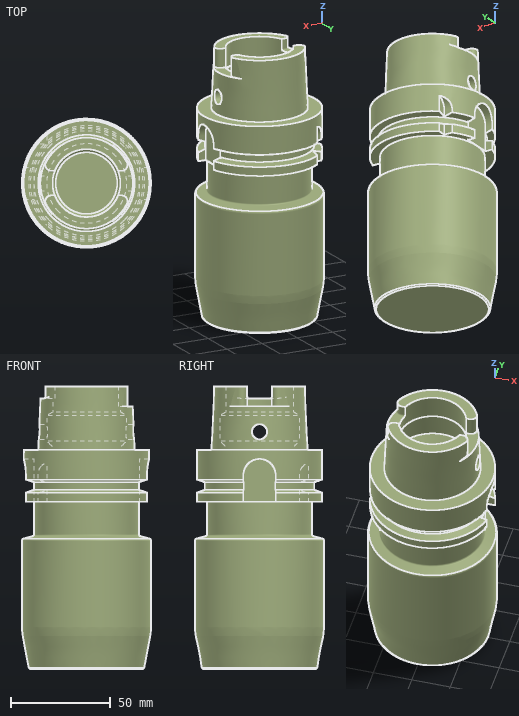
import cadquery as cq
import math

body_radius = 32.5
nose_radius = 29.0
nose_chamfer = 0.7
nose_taper_top = 16.6
nose_blend_top = 21.0
nose_taper_radius = 32.0
shoulder_start = 64.1
shoulder_cone_start = (31.9, 65.4)
shoulder_cone_end = (27.1, 66.7)
neck_radius = 26.4
neck_start = 67.7

flange_radius = 31.5
flange_bottom = 83.9
flange_top = 110.0
groove_radius = 27.5
groove_chamfer_height = 1.4
groove_bottom = 88.5
groove_top = 95.1

shank_base_radius = 24.3
shank_tip_radius = 22.8
shank_top = 141.9
bore_radius = 17.0
undercut_radius = 20.0
undercut_chamfer_top = 129.1
undercut_chamfer_height = 1.7
bore_floor = 110.0
bore_floor_radius = 15.5
cross_hole_diameter = 7.5
cross_hole_height = 119.0

notch_width = 12.3
notch_half_width = notch_width / 2
notch_corner_radius = 3.0
notch_foot_radius = 1.0
shallow_notch_floor = 135.8
deep_notch_floor = 131.8

keyway_radius = 8.1
keyway_center_height = 97.3
keyway_floor = 26.4
corner_notch_offset = 19.9
corner_notch_radius = 6.7
corner_notch_center_height = 97.3

clearance = 14.2


def make_body():
    """Solid of revolution: nose, body, neck, grooved flange and shank."""
    nose_slope = (nose_taper_radius - nose_radius) / nose_taper_top
    return (
        cq.Workplane("XZ")
        .moveTo(0, 0)
        .lineTo(nose_radius - nose_chamfer, 0)
        .lineTo(nose_radius + nose_slope * nose_chamfer, nose_chamfer)
        .lineTo(nose_taper_radius, nose_taper_top)
        .tangentArcPoint((body_radius, nose_blend_top), relative=False)
        .lineTo(body_radius, shoulder_start)
        .tangentArcPoint(shoulder_cone_start, relative=False)
        .lineTo(*shoulder_cone_end)
        .tangentArcPoint((neck_radius, neck_start), relative=False)
        .lineTo(neck_radius, flange_bottom)
        .lineTo(flange_radius, flange_bottom)
        .lineTo(flange_radius, groove_bottom)
        .lineTo(groove_radius, groove_bottom + groove_chamfer_height)
        .lineTo(groove_radius, groove_top - groove_chamfer_height)
        .lineTo(flange_radius, groove_top)
        .lineTo(flange_radius, flange_top)
        .lineTo(shank_base_radius, flange_top)
        .lineTo(shank_tip_radius, shank_top)
        .lineTo(0, shank_top)
        .close()
        .revolve(360, (0, 0, 0), (0, 1, 0))
    )


def make_bore():
    """Blind bore with a wider undercut and a conical edge round its floor."""
    floor_cone_top = bore_floor + undercut_radius - bore_floor_radius
    return (
        cq.Workplane("XZ")
        .moveTo(0, bore_floor)
        .lineTo(bore_floor_radius, bore_floor)
        .lineTo(undercut_radius, floor_cone_top)
        .lineTo(undercut_radius, undercut_chamfer_top - undercut_chamfer_height)
        .lineTo(bore_radius, undercut_chamfer_top)
        .lineTo(bore_radius, shank_top)
        .lineTo(0, shank_top)
        .close()
        .revolve(360, (0, 0, 0), (0, 1, 0))
    )


def make_cross_hole():
    """Radial hole through both walls of the shank, along X."""
    return (
        cq.Workplane("YZ")
        .center(0, cross_hole_height)
        .circle(cross_hole_diameter / 2)
        .extrude(2 * shank_base_radius, both=True)
    )


def make_drive_notch(floor_height):
    """Notch cutter on the +X side that rounds the outer corners of the prongs.

    Each corner arc runs from the notch wall to where it touches the tip circle,
    and leaves it along the common tangent.
    """
    center_y = notch_half_width + notch_corner_radius
    center_distance = shank_tip_radius - notch_corner_radius
    touch_angle = math.asin(center_y / center_distance)
    center_x = center_distance * math.cos(touch_angle)

    def corner_point(angle):
        return (
            center_x + notch_corner_radius * math.cos(angle),
            center_y + notch_corner_radius * math.sin(angle),
        )

    wall_angle = -math.pi / 2
    arc_middle = corner_point((wall_angle + touch_angle) / 2)
    touch_point = corner_point(touch_angle)
    tangent_end = (
        touch_point[0] - clearance * math.sin(touch_angle),
        touch_point[1] + clearance * math.cos(touch_angle),
    )
    half_notch = (
        cq.Workplane("XY", origin=(0, 0, floor_height))
        .moveTo(0, 0)
        .lineTo(0, notch_half_width)
        .lineTo(center_x, notch_half_width)
        .threePointArc(arc_middle, touch_point)
        .lineTo(*tangent_end)
        .lineTo(shank_tip_radius + clearance, tangent_end[1])
        .lineTo(shank_tip_radius + clearance, 0)
        .close()
        .extrude(shank_top - floor_height)
    )
    return half_notch.union(half_notch.mirror("XZ")).clean()


def make_round_top_slot(floor_x, center_y, center_z, radius):
    """Slot cutter from floor_x outward along +X, open at the flange bottom, round at the top."""
    return (
        cq.Workplane("YZ", origin=(floor_x, center_y, 0))
        .moveTo(-radius, flange_bottom)
        .lineTo(radius, flange_bottom)
        .lineTo(radius, center_z)
        .threePointArc((0, center_z + radius), (-radius, center_z))
        .close()
        .extrude(clearance)
    )


def turned_to_minus_x(cutter):
    """Copy of a +X cutter turned half a turn about Z."""
    return cutter.rotate((0, 0, 0), (0, 0, 1), 180)


deep_notch = make_drive_notch(deep_notch_floor)
shallow_notch = make_drive_notch(shallow_notch_floor).faces("<Z").edges().fillet(notch_foot_radius)
keyway = make_round_top_slot(keyway_floor, 0, keyway_center_height, keyway_radius)

corner_notch = turned_to_minus_x(
    make_round_top_slot(
        corner_notch_offset,
        -(corner_notch_offset + corner_notch_radius),
        corner_notch_center_height,
        corner_notch_radius,
    )
)

result = (
    make_body()
    .cut(make_bore())
    .cut(make_cross_hole())
    .cut(deep_notch)
    .cut(turned_to_minus_x(shallow_notch))
    .cut(keyway)
    .cut(turned_to_minus_x(keyway))
    .cut(corner_notch)
)